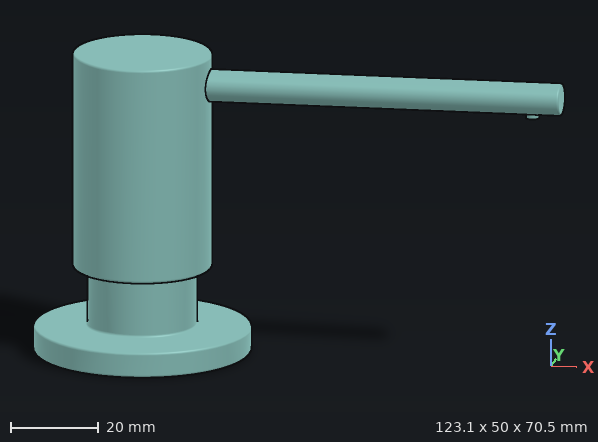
import cadquery as cq
import math

flange_diameter = 50.0
flange_height = 6.2
neck_diameter = 25.1
neck_fillet = 0.7

head_diameter = 32.0
head_bottom = 19.8
total_height = 70.5

overall_length = 123.1
spout_diameter = 7.5
spout_tilt = 1.0
spout_root_height = 63.5
spout_end_fillet = 0.5

nozzle_diameter = 3.1
nozzle_end_distance = 6.9
nozzle_protrusion = 0.9

rim_fillet = 0.7

head_radius = head_diameter / 2
spout_radius = spout_diameter / 2
tilt = math.radians(spout_tilt)

spout_tip_x = overall_length - flange_diameter / 2
end_overhang = (spout_radius - spout_end_fillet) * math.sin(tilt)
end_overhang -= spout_end_fillet * (1 - math.cos(tilt))
spout_end_x = spout_tip_x - end_overhang

spout_length = spout_end_x / math.cos(tilt)
spout_axis_height = spout_root_height - head_radius * math.tan(tilt)


def make_base():
    flange = cq.Workplane("XY").circle(flange_diameter / 2).extrude(flange_height)
    neck_height = head_bottom - flange_height
    base = flange.faces(">Z").workplane().circle(neck_diameter / 2).extrude(neck_height)
    neck_circles = cq.selectors.RadiusNthSelector(0)
    flange_circles = cq.selectors.RadiusNthSelector(-1)
    base = base.edges("%CIRCLE").edges(neck_circles).edges("<Z").fillet(neck_fillet)
    return base.edges("%CIRCLE").edges(flange_circles).fillet(rim_fillet)


def make_spout():
    """Spout and nozzle, built along +X from the Z axis and then tilted up."""
    bar = cq.Workplane("YZ").circle(spout_radius).extrude(spout_length)
    bar = bar.faces(">X").edges().fillet(spout_end_fillet)
    nozzle = (
        cq.Workplane("XY")
        .center(spout_length - nozzle_end_distance, 0)
        .circle(nozzle_diameter / 2)
        .extrude(-spout_radius - nozzle_protrusion)
    )
    spout = bar.union(nozzle)
    spout = spout.rotate((0, 0, 0), (0, 1, 0), -spout_tilt)
    return spout.translate((0, 0, spout_axis_height))


def make_head():
    cylinder = (
        cq.Workplane("XY")
        .workplane(offset=head_bottom)
        .circle(head_radius)
        .extrude(total_height - head_bottom)
        .edges("%CIRCLE")
        .fillet(rim_fillet)
    )
    return cylinder.union(make_spout())


base = make_base()
head = make_head()

result = cq.Compound.makeCompound([base.val(), head.val()])